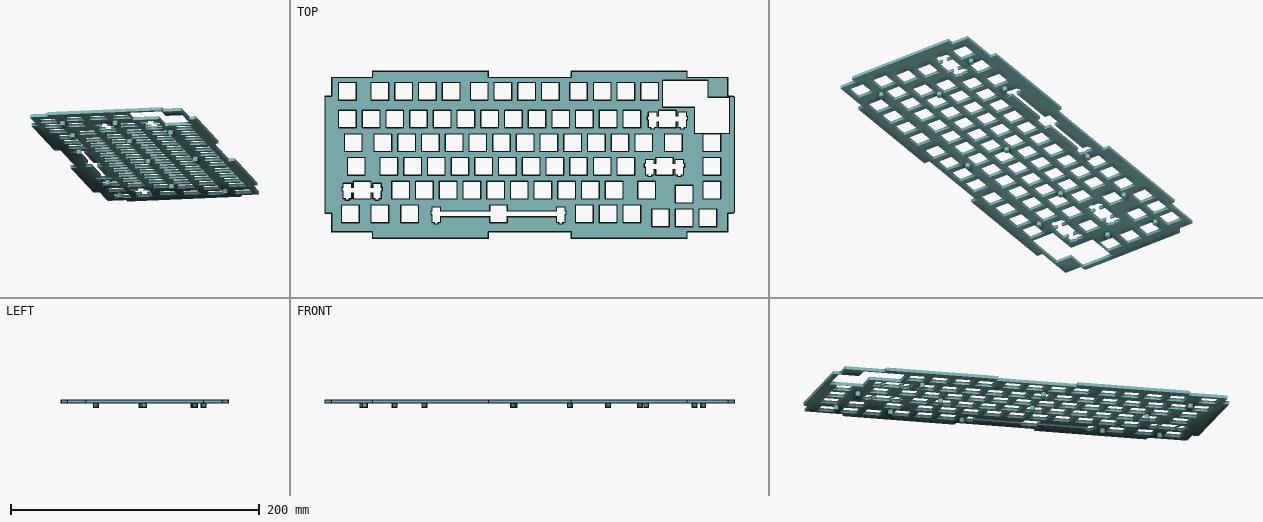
import cadquery as cq

OVERALL_LENGTH = 329.27
OVERALL_WIDTH = 134.28
OVERALL_HEIGHT = 6.0
THICKNESS = 2.5
BODY_LENGTH = 318.4
BODY_WIDTH = 124.2
SIDE_TAB_WIDTH = 94.2
SIDE_TAB_RADIUS = 2.0
LONG_EDGE_TAB_LENGTH = 93.3
LONG_EDGE_TAB_CENTER_X = 79.85

KEY_UNIT = 19.05
SWITCH_SIZE = 14.0
FIRST_KEY_X = -146.55
NUMBER_ROW_Y = 28.65
NUMBER_ROW, TAB_ROW, CAPS_ROW, SHIFT_ROW, SPACE_ROW = range(5)

NUMBER_ROW_KEYS = [*range(13), 13.5]
TAB_ROW_KEYS = [0.25, *(1.5 + i for i in range(12)), 13.75]
CAPS_ROW_KEYS = [0.375, *(1.75 + i for i in range(11)), 13.375]
SHIFT_ROW_KEYS = [0.625, *(2.25 + i for i in range(10)), 12.625]
SPACEBAR = 6.375
SPACE_ROW_KEYS = [0.125, 1.375, 2.625, SPACEBAR, 10, 11, 12]
MAIN_ROWS = (NUMBER_ROW_KEYS, TAB_ROW_KEYS, CAPS_ROW_KEYS, SHIFT_ROW_KEYS, SPACE_ROW_KEYS)

FUNCTION_GROUPS = 3
KEYS_PER_GROUP = 4
ESCAPE_GAP = 0.375 * KEY_UNIT
FUNCTION_GROUP_GAP = 0.1875 * KEY_UNIT
BLOCK_GAP = 3.2
FUNCTION_ROW_Y = NUMBER_ROW_Y + KEY_UNIT + BLOCK_GAP

RIGHT_COLUMN_X = FIRST_KEY_X + 15.375 * KEY_UNIT
RIGHT_ARROW_X = RIGHT_COLUMN_X - BLOCK_GAP
BOTTOM_ARROWS = 3

STABILIZER_WIDTH = 6.65
STABILIZER_TOP = 5.5
STABILIZER_BOTTOM = -6.75
FOOT_WIDTH = 3.0
FOOT_DEPTH = 1.2
SIDE_NOTCH_DEPTH = 0.9
SIDE_NOTCH_HEIGHT = 2.8
SIDE_NOTCH_Y = 0.8
WIRE_CHANNEL_HEIGHT = 4.6
TWO_UNIT_STABILIZER_OFFSET = 11.9
SPACEBAR_STABILIZER_OFFSET = 50.0

WING_LEFT, WING_RIGHT = 106.7, 143.2
WING_BOTTOM, WING_TOP = 38.2, 59.7
POCKET_LEFT, POCKET_RIGHT = 132.4, 160.3
POCKET_BOTTOM, POCKET_TOP = 17.2, 46.0

PIN_DIAMETER = 4.0
PIN_LENGTH = OVERALL_HEIGHT - THICKNESS
UPPER_PIN_Y = 39.2
MIDDLE_PIN_Y = 0.4
LOWER_PIN_Y = -47.3
PIN_CENTERS = [
    *((x, UPPER_PIN_Y) for x in (-134.4, -12.2, 88.7)),
    *((x, MIDDLE_PIN_Y) for x in (-108.6, -13.3, 63.0)),
    *((x, LOWER_PIN_Y) for x in (-132.4, -84.7, 32.3)),
    (132.4, 2.5),
    (93.6, -40.2),
    (139.3, -39.3),
]


def key_x(units):
    """X of a key center in the main block."""
    return FIRST_KEY_X + units * KEY_UNIT


def row_y(row):
    """Y of a row of the main block, counted down from the number row."""
    return NUMBER_ROW_Y - row * KEY_UNIT


def slab(left, right, bottom, top):
    """Rectangular block as thick as the plate, resting on Z = 0."""
    return (
        cq.Workplane("XY")
        .center((left + right) / 2, (bottom + top) / 2)
        .rect(right - left, top - bottom)
        .extrude(THICKNESS)
    )


def centered_slab(x, y, length, width):
    return slab(x - length / 2, x + length / 2, y - width / 2, y + width / 2)


def make_plate():
    side_tabs = centered_slab(0, 0, OVERALL_LENGTH, SIDE_TAB_WIDTH)
    side_tabs = side_tabs.edges("|Z and >X").fillet(SIDE_TAB_RADIUS)
    plate = centered_slab(0, 0, BODY_LENGTH, BODY_WIDTH).union(side_tabs)
    for side in (-1, 1):
        tabs = centered_slab(side * LONG_EDGE_TAB_CENTER_X, 0, LONG_EDGE_TAB_LENGTH, OVERALL_WIDTH)
        plate = plate.union(tabs)
    return plate


def function_row_centers():
    centers = [(key_x(0), FUNCTION_ROW_Y)]
    for group in range(FUNCTION_GROUPS):
        group_offset = ESCAPE_GAP + group * FUNCTION_GROUP_GAP
        for key in range(KEYS_PER_GROUP):
            units = 1 + group * KEYS_PER_GROUP + key
            centers.append((key_x(units) + group_offset, FUNCTION_ROW_Y))
    return centers


def main_block_centers():
    return [(key_x(units), row_y(row)) for row, keys in enumerate(MAIN_ROWS) for units in keys]


def right_column_centers():
    return [(RIGHT_COLUMN_X, row_y(row)) for row in (TAB_ROW, CAPS_ROW, SHIFT_ROW)]


def arrow_key_centers():
    bottom_y = row_y(SPACE_ROW) - BLOCK_GAP
    centers = [(RIGHT_ARROW_X - i * KEY_UNIT, bottom_y) for i in range(BOTTOM_ARROWS)]
    centers.append((RIGHT_ARROW_X - KEY_UNIT, bottom_y + KEY_UNIT))
    return centers


def make_switch_openings():
    centers = function_row_centers() + main_block_centers() + right_column_centers() + arrow_key_centers()
    return cq.Workplane("XY").pushPoints(centers).rect(SWITCH_SIZE, SWITCH_SIZE).extrude(THICKNESS)


def make_stabilizer_opening(x, y, offset):
    """Two stabilizer housings either side of a key, joined by a wire channel."""
    opening = centered_slab(x, y, 2 * offset, WIRE_CHANNEL_HEIGHT)
    bottom = y + STABILIZER_BOTTOM
    for side in (-1, 1):
        housing_x = x + side * offset
        left = housing_x - STABILIZER_WIDTH / 2
        right = housing_x + STABILIZER_WIDTH / 2
        opening = opening.union(slab(left, right, bottom, y + STABILIZER_TOP))
        foot_left = housing_x - FOOT_WIDTH / 2
        opening = opening.union(slab(foot_left, foot_left + FOOT_WIDTH, bottom - FOOT_DEPTH, y))
        notch_x = housing_x + side * SIDE_NOTCH_DEPTH
        notch = centered_slab(notch_x, y + SIDE_NOTCH_Y, STABILIZER_WIDTH, SIDE_NOTCH_HEIGHT)
        opening = opening.union(notch)
    return opening


def cut_stabilizers(plate):
    stabilized_keys = [
        (NUMBER_ROW_KEYS[-1], NUMBER_ROW, TWO_UNIT_STABILIZER_OFFSET),
        (CAPS_ROW_KEYS[-1], CAPS_ROW, TWO_UNIT_STABILIZER_OFFSET),
        (SHIFT_ROW_KEYS[0], SHIFT_ROW, TWO_UNIT_STABILIZER_OFFSET),
        (SPACEBAR, SPACE_ROW, SPACEBAR_STABILIZER_OFFSET),
    ]
    for units, row, offset in stabilized_keys:
        plate = plate.cut(make_stabilizer_opening(key_x(units), row_y(row), offset))
    return plate


def make_corner_opening():
    wing = slab(WING_LEFT, WING_RIGHT, WING_BOTTOM, WING_TOP)
    return wing.union(slab(POCKET_LEFT, POCKET_RIGHT, POCKET_BOTTOM, POCKET_TOP))


def make_pins():
    return cq.Workplane("XY").pushPoints(PIN_CENTERS).circle(PIN_DIAMETER / 2).extrude(-PIN_LENGTH)


plate = make_plate().cut(make_switch_openings()).cut(make_corner_opening())
result = cut_stabilizers(plate).union(make_pins())